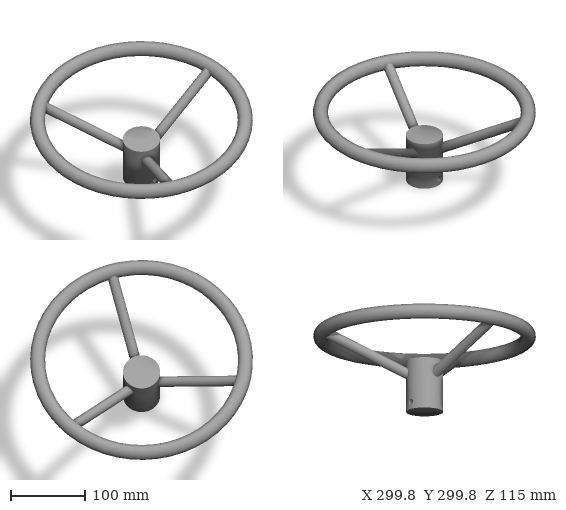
import cadquery as cq

overall_diameter = 299.8
overall_height = 115.0
rim_bar_diameter = 20.0
rim_radius = (overall_diameter - rim_bar_diameter) / 2
rim_height = overall_height - rim_bar_diameter / 2

hub_diameter = 50.0
hub_height = 70.0

pin_hole_diameter = 8.0
pin_hole_height = 10.0

spoke_count = 3
spoke_diameter = 14.0
spoke_root_height = 40.5
first_spoke_angle = 90.0


def make_rim():
    return (
        cq.Workplane("XZ")
        .center(rim_radius, rim_height)
        .circle(rim_bar_diameter / 2)
        .revolve(360, (-rim_radius, 0), (-rim_radius, 1))
    )


def make_hub():
    return cq.Workplane("XY").circle(hub_diameter / 2).extrude(hub_height)


def make_spoke(angle):
    root = cq.Vector(0, 0, spoke_root_height)
    along = cq.Vector(rim_radius, 0, rim_height - spoke_root_height)
    bar = cq.Solid.makeCylinder(spoke_diameter / 2, along.Length, root, along)
    return cq.Workplane(obj=bar).rotate((0, 0, 0), (0, 0, 1), angle)


def make_pin_hole():
    return (
        cq.Workplane("YZ")
        .center(0, pin_hole_height)
        .circle(pin_hole_diameter / 2)
        .extrude(hub_diameter, both=True)
    )


result = make_hub().union(make_rim())
for index in range(spoke_count):
    result = result.union(make_spoke(first_spoke_angle + index * 360 / spoke_count))
result = result.cut(make_pin_hole())